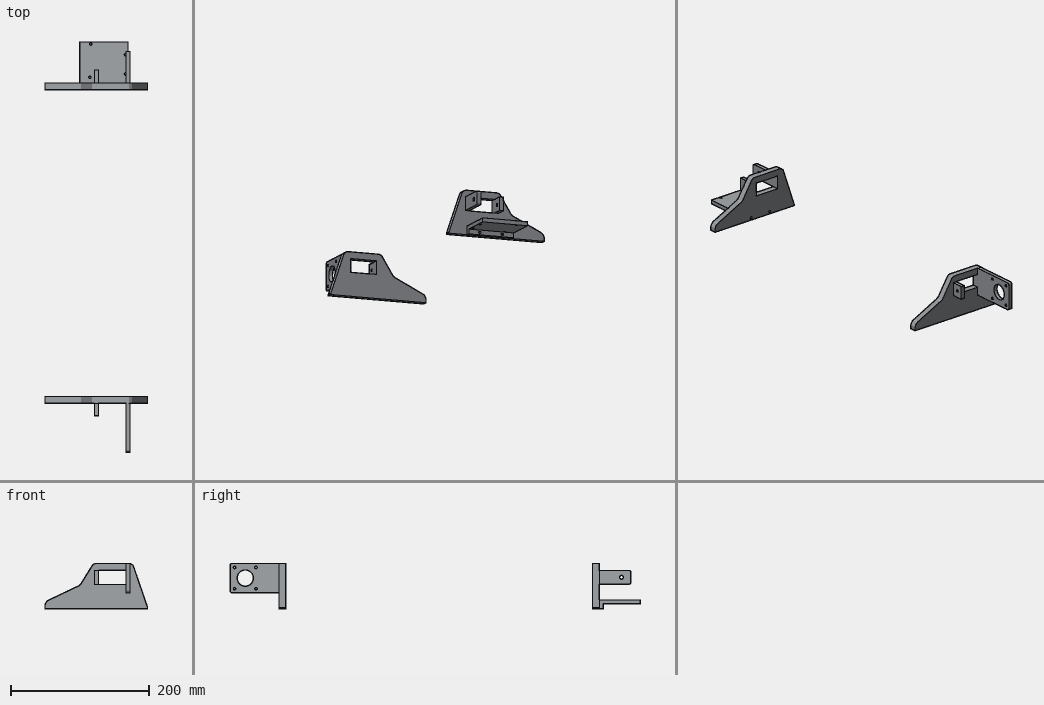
import cadquery as cq

TOTAL_LENGTH = 592.5
WALL_LENGTH = 148.5
WALL_HEIGHT = 66.0
WALL_THICKNESS = 10.0
PLATE_THICKNESS = 6.0
MOTOR_PLATE_LENGTH = 70.5
TRAY_DEPTH = 59.0
FRONT_WALL_Y = MOTOR_PLATE_LENGTH
REAR_WALL_BACK_Y = TOTAL_LENGTH - TRAY_DEPTH
REAR_WALL_Y = REAR_WALL_BACK_Y - WALL_THICKNESS

NOSE_HEIGHT = 10.0
BEND_X, BEND_Z = 51.0, 34.5
TOP_START_X = 70.5
TOP_END_X = 127.0
HEEL_HEIGHT = 2.0
TOP_CORNER_RADIUS = 7.5
BEND_RADIUS = 10.0
NOSE_RADIUS = 10.0

WINDOW_WIDTH = 39.5
WINDOW_HEIGHT = 20.0
WINDOW_X = 77.5
WINDOW_Z = 35.5
WINDOW_MID_Z = WINDOW_Z + WINDOW_HEIGHT / 2
LEFT_TAB_X = WINDOW_X - PLATE_THICKNESS
RIGHT_TAB_X = WINDOW_X + WINDOW_WIDTH

FRONT_TAB_LENGTH = 18.0
FRONT_TAB_HOLE_OFFSET = 9.0
FRONT_TAB_HOLE_DIAMETER = 3.4
REAR_TAB_LENGTH = 19.0
REAR_TAB_HOLE_OFFSET = 9.0
REAR_TAB_HOLE_DIAMETER = 4.5
LONG_TAB_LENGTH = 45.5
LONG_TAB_HOLE_OFFSET = 32.0
LONG_TAB_HOLE_DIAMETER = 5.3
PLATE_CORNER_RADIUS = 3.0

MOTOR_PLATE_HEIGHT = 42.5
MOTOR_PLATE_Z = WALL_HEIGHT - MOTOR_PLATE_HEIGHT
MOTOR_BORE_DIAMETER = 23.0
MOTOR_BORE_Y = 22.0
MOTOR_SCREW_SPACING = 31.0
MOTOR_SCREW_DIAMETER = 3.2

TRAY_X = 50.5
TRAY_WIDTH = 70.0
TRAY_TOP_Z = 13.0
TRAY_HOLE_DIAMETER = 3.2
TRAY_HOLES = [(65.0, 8.0), (66.5, 56.0), (117.0, 13.0), (117.0, 41.0)]
FLANGE_SCREW_SPACING = 35.0
FLANGE_SCREW_Z = 3.5
FLANGE_SCREW_DIAMETER = 3.2
FLANGE_SCREW_MID_X = TRAY_X + TRAY_WIDTH / 2


def block(x, y, z, length, depth, height):
    """Box with its lowest corner at x, y, z."""
    return cq.Workplane("XY").box(length, depth, height, centered=False).translate((x, y, z))


def hole_along_x(x, y, z, diameter):
    """Cutter for a hole through a plate whose thickness lies along X."""
    return (
        cq.Workplane("YZ", origin=(x, y, z))
        .circle(diameter / 2)
        .extrude(PLATE_THICKNESS)
    )


def flange_screw_holes(y, depth):
    """Cutters for the screws that join the tray flange to the rear wall."""
    start = cq.Workplane("XZ", origin=(FLANGE_SCREW_MID_X, y, FLANGE_SCREW_Z))
    return (
        start.rarray(FLANGE_SCREW_SPACING, 6, 2, 1)
        .circle(FLANGE_SCREW_DIAMETER / 2)
        .extrude(-depth)
    )


def wall(y):
    """Upright wall with a rounded outline and a rectangular window."""
    outline = [
        (0, 0),
        (WALL_LENGTH, 0),
        (WALL_LENGTH, HEEL_HEIGHT),
        (TOP_END_X, WALL_HEIGHT),
        (TOP_START_X, WALL_HEIGHT),
        (BEND_X, BEND_Z),
        (0, NOSE_HEIGHT),
    ]
    body = cq.Workplane("XZ", origin=(0, y, 0)).polyline(outline).close().extrude(-WALL_THICKNESS)
    rounded_corners = [
        (TOP_END_X, WALL_HEIGHT, TOP_CORNER_RADIUS),
        (TOP_START_X, WALL_HEIGHT, TOP_CORNER_RADIUS),
        (BEND_X, BEND_Z, BEND_RADIUS),
        (0, NOSE_HEIGHT, NOSE_RADIUS),
    ]
    for x, z, radius in rounded_corners:
        corner = cq.selectors.NearestToPointSelector((x, y + WALL_THICKNESS / 2, z))
        body = body.edges("|Y").edges(corner).fillet(radius)
    window = block(WINDOW_X, y, WINDOW_Z, WINDOW_WIDTH, WALL_THICKNESS, WINDOW_HEIGHT)
    return body.cut(window)


def tab(x, y, length, hole_y, hole_diameter):
    """Tab of the window's height, with one cross hole."""
    body = block(x, y, WINDOW_Z, PLATE_THICKNESS, length, WINDOW_HEIGHT)
    return body.cut(hole_along_x(x, hole_y, WINDOW_MID_Z, hole_diameter))


def motor_plate():
    """Plate with a central bore and four screw holes, rounded at its free end."""
    plate = block(
        RIGHT_TAB_X, 0, MOTOR_PLATE_Z, PLATE_THICKNESS, MOTOR_PLATE_LENGTH, MOTOR_PLATE_HEIGHT
    )
    plate = plate.faces("<Y").edges("|X").fillet(PLATE_CORNER_RADIUS)
    bore_z = MOTOR_PLATE_Z + MOTOR_PLATE_HEIGHT / 2
    plate = plate.cut(hole_along_x(RIGHT_TAB_X, MOTOR_BORE_Y, bore_z, MOTOR_BORE_DIAMETER))
    screws = (
        cq.Workplane("YZ", origin=(RIGHT_TAB_X, MOTOR_BORE_Y, bore_z))
        .rarray(MOTOR_SCREW_SPACING, MOTOR_SCREW_SPACING, 2, 2)
        .circle(MOTOR_SCREW_DIAMETER / 2)
        .extrude(PLATE_THICKNESS)
    )
    return plate.cut(screws)


def make_front_bracket():
    """Wall with a short tab and the motor plate, both reaching toward -Y."""
    short_tab = tab(
        LEFT_TAB_X,
        FRONT_WALL_Y - FRONT_TAB_LENGTH,
        FRONT_TAB_LENGTH,
        FRONT_WALL_Y - FRONT_TAB_HOLE_OFFSET,
        FRONT_TAB_HOLE_DIAMETER,
    )
    return wall(FRONT_WALL_Y).union(short_tab).union(motor_plate())


def make_rear_bracket():
    """Wall with a short and a long tab reaching toward +Y."""
    short_tab = tab(
        LEFT_TAB_X,
        REAR_WALL_BACK_Y,
        REAR_TAB_LENGTH,
        REAR_WALL_BACK_Y + REAR_TAB_HOLE_OFFSET,
        REAR_TAB_HOLE_DIAMETER,
    )
    long_tab = tab(
        RIGHT_TAB_X,
        REAR_WALL_BACK_Y,
        LONG_TAB_LENGTH,
        REAR_WALL_BACK_Y + LONG_TAB_HOLE_OFFSET,
        LONG_TAB_HOLE_DIAMETER,
    )
    long_tab = long_tab.faces(">Y").edges("|X").fillet(PLATE_CORNER_RADIUS)
    bracket = wall(REAR_WALL_Y).union(short_tab).union(long_tab)
    return bracket.cut(flange_screw_holes(REAR_WALL_Y, WALL_THICKNESS))


def make_tray():
    """Flat tray with board mounting holes and a flange against the rear wall."""
    shelf_z = TRAY_TOP_Z - PLATE_THICKNESS
    shelf = block(TRAY_X, REAR_WALL_BACK_Y, shelf_z, TRAY_WIDTH, TRAY_DEPTH, PLATE_THICKNESS)
    flange = block(TRAY_X, REAR_WALL_BACK_Y, 0, TRAY_WIDTH, PLATE_THICKNESS, TRAY_TOP_Z)
    board_holes = (
        cq.Workplane("XY", origin=(0, REAR_WALL_BACK_Y, shelf_z))
        .pushPoints(TRAY_HOLES)
        .circle(TRAY_HOLE_DIAMETER / 2)
        .extrude(PLATE_THICKNESS)
    )
    tray = shelf.union(flange).cut(board_holes)
    return tray.cut(flange_screw_holes(REAR_WALL_BACK_Y, PLATE_THICKNESS))


front_bracket = make_front_bracket()
rear_bracket = make_rear_bracket()
tray = make_tray()

result = cq.Compound.makeCompound([front_bracket.val(), rear_bracket.val(), tray.val()])